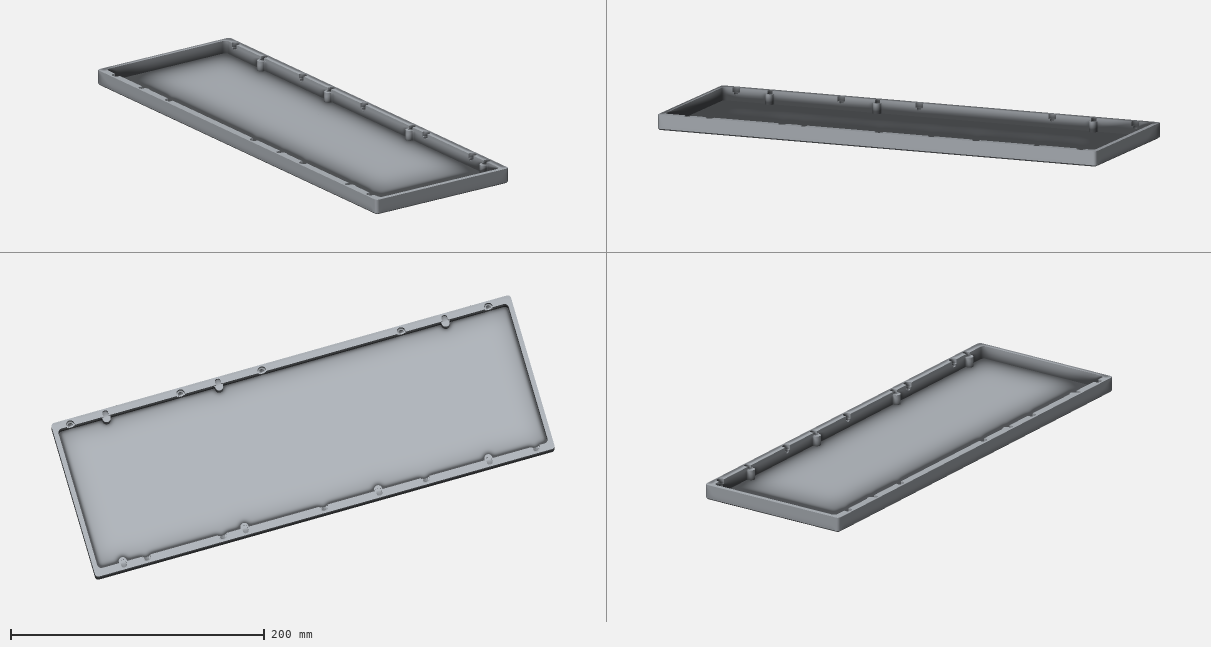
import cadquery as cq
import math

length = 377.5
width = 129.0
height = 12.5
floor_thickness = 2.0
end_wall = 3.8
side_wall = 6.0
outer_corner_radius = 2.5
inner_corner_radius = 3.5
bottom_chamfer = 1.0

post_width = 6.5
post_reach = 4.5
post_drop = 2.3
post_wall_fillet = 1.0

slot_width = 4.5
slot_depth = 3.0
slot_reach = 2.3
slot_corner_radius = 2.0
slot_back_wall = 1.5

pocket_diameter = 6.8
pocket_depth = 3.8
pocket_inset = 1.0
drill_diameter = 4.0
drill_depth = 5.3
drill_tip_angle = 118

back_posts = (-136.0, -45.3, 64.5, 164.5)
front_posts = (-133.5, 52.5, 145.0)
back_pockets = (-174.0, -83.5, 0.0, 83.5, 145.5)
front_pockets = (-169.5, -97.7, 16.5, 83.5, 174.0)

inner_length = length - 2 * end_wall
inner_width = width - 2 * side_wall
inner_face = inner_width / 2
embed = side_wall / 2


def make_tray():
    outside = (
        cq.Workplane("XY")
        .box(length, width, height, centered=(True, True, False))
        .edges("|Z").fillet(outer_corner_radius)
        .faces("<Z").edges().chamfer(bottom_chamfer)
    )
    cavity = (
        cq.Workplane("XY", origin=(0, 0, floor_thickness))
        .box(inner_length, inner_width, height, centered=(True, True, False))
        .edges("|Z").fillet(inner_corner_radius)
    )
    return outside.cut(cavity)


def make_post(x):
    """Post on the back wall: a round nose blended into the wall by two concave fillets."""
    half = post_width / 2
    root = half + post_wall_fillet
    shoulder = post_reach - half
    bend = post_wall_fillet * math.sqrt(0.5)
    bend_x = root - bend
    bend_y = bend - post_wall_fillet
    return (
        cq.Workplane("XY", origin=(x, inner_face, floor_thickness))
        .moveTo(-root, embed)
        .lineTo(-root, 0)
        .threePointArc((-bend_x, bend_y), (-half, -post_wall_fillet))
        .lineTo(-half, -shoulder)
        .threePointArc((0, -post_reach), (half, -shoulder))
        .lineTo(half, -post_wall_fillet)
        .threePointArc((bend_x, bend_y), (root, 0))
        .lineTo(root, embed)
        .close()
        .extrude(height - post_drop - floor_thickness)
    )


def make_slot(x):
    near = inner_face - slot_reach
    far = width / 2 - slot_back_wall
    return (
        cq.Workplane("XY", origin=(x, (near + far) / 2, height - slot_depth))
        .box(slot_width, far - near, height, centered=(True, True, False))
        .edges("|Z").fillet(slot_corner_radius)
    )


def make_pocket(x):
    """Wide pocket over a narrower drilled hole with a conical tip."""
    drill_radius = drill_diameter / 2
    tip_length = drill_radius / math.tan(math.radians(drill_tip_angle / 2))
    drill_floor = height - drill_depth
    top = cq.Workplane("XY", origin=(x, inner_face + pocket_inset, height))
    tip = cq.Solid.makeCone(
        drill_radius, 0, tip_length,
        cq.Vector(x, inner_face + pocket_inset, drill_floor),
        cq.Vector(0, 0, -1),
    )
    return (
        top.circle(pocket_diameter / 2).extrude(-pocket_depth)
        .union(top.circle(drill_radius).extrude(-drill_depth))
        .union(cq.Workplane(tip))
    )


def on_front(shape):
    """Mirror a back-wall shape onto the front wall."""
    return shape.mirror("XZ")


result = make_tray()
for x in back_posts:
    result = result.union(make_post(x)).cut(make_slot(x))
for x in front_posts:
    result = result.union(on_front(make_post(x))).cut(on_front(make_slot(x)))
for x in back_pockets:
    result = result.cut(make_pocket(x))
for x in front_pockets:
    result = result.cut(on_front(make_pocket(x)))